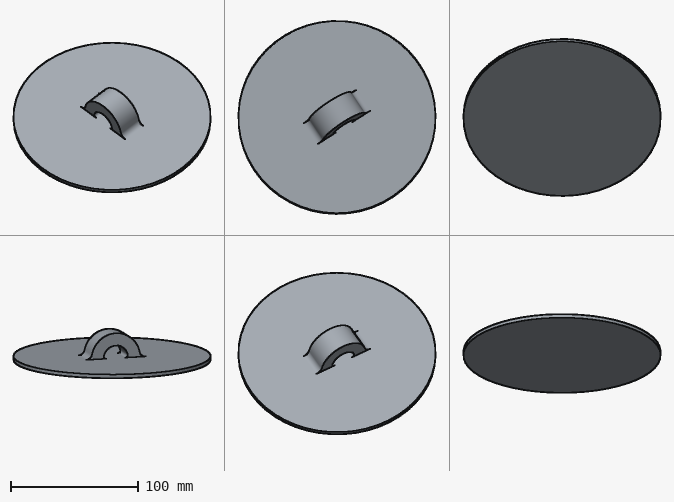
import cadquery as cq
import math

disc_diameter = 154.7
total_height = 23.0
arch_outer_radius = 20.0
arch_inner_radius = 10.0
arch_width = 20.0
outer_fillet = 5.0
inner_fillet = 2.0

disc_thickness = total_height - arch_outer_radius


def make_disc():
    """Flat round base whose top face lies at Z = 0."""
    return cq.Workplane("XY").circle(disc_diameter / 2).extrude(-disc_thickness)


def make_arch():
    """Half-ring handle with fillets blending both sides of each foot into the disc."""
    outer_foot = math.sqrt((arch_outer_radius + outer_fillet) ** 2 - outer_fillet**2)
    inner_foot = math.sqrt((arch_inner_radius - inner_fillet) ** 2 - inner_fillet**2)
    outer_angle = math.atan2(outer_fillet, outer_foot)
    inner_angle = math.atan2(inner_fillet, inner_foot)

    outer_x = arch_outer_radius * math.cos(outer_angle)
    outer_z = arch_outer_radius * math.sin(outer_angle)
    inner_x = arch_inner_radius * math.cos(inner_angle)
    inner_z = arch_inner_radius * math.sin(inner_angle)

    outer_mid_angle = (outer_angle + math.pi + 3 * math.pi / 2) / 2
    inner_mid_angle = (inner_angle - math.pi / 2) / 2
    outer_mid_x = outer_foot + outer_fillet * math.cos(outer_mid_angle)
    outer_mid_z = outer_fillet * (1 + math.sin(outer_mid_angle))
    inner_mid_x = inner_foot + inner_fillet * math.cos(inner_mid_angle)
    inner_mid_z = inner_fillet * (1 + math.sin(inner_mid_angle))

    return (
        cq.Workplane("XZ")
        .moveTo(-outer_foot, 0)
        .threePointArc((-outer_mid_x, outer_mid_z), (-outer_x, outer_z))
        .threePointArc((0, arch_outer_radius), (outer_x, outer_z))
        .threePointArc((outer_mid_x, outer_mid_z), (outer_foot, 0))
        .lineTo(inner_foot, 0)
        .threePointArc((inner_mid_x, inner_mid_z), (inner_x, inner_z))
        .threePointArc((0, arch_inner_radius), (-inner_x, inner_z))
        .threePointArc((-inner_mid_x, inner_mid_z), (-inner_foot, 0))
        .close()
        .extrude(arch_width / 2, both=True)
    )


result = make_disc().union(make_arch())